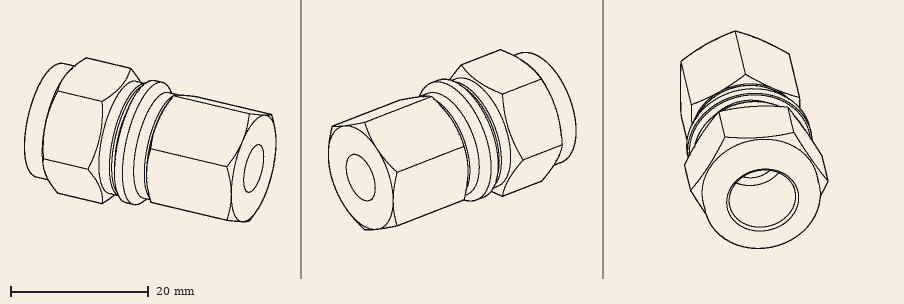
import cadquery as cq
import math

overall_length = 32.9

collar_diameter = 17.0
collar_length = 3.03
collar_fillet = 0.53
nut_corner_diameter = 20.17
nut_end = 12.0

shoulder_diameter = 16.8
shoulder_end = 14.0
shoulder_chamfer = 0.3
shoulder_chamfer_drop = 0.13
neck_diameter = 14.28
neck_end = 15.65
neck_chamfer = 0.2
neck_chamfer_drop = 0.1
flange_start = 14.8
flange_diameter = 18.25
flange_end = 16.1
flange_rim_width = 0.25
hollow_core_diameter = 13.05
body_diameter = 15.8
body_end = 19.4
body_chamfer = 0.35
body_chamfer_drop = 0.2

body_hex_corner_diameter = 18.33

tube_bore_diameter = 9.75
tube_bore_mouth_diameter = 10.55
tube_bore_depth = nut_end
through_bore_diameter = 7.1

hex_chamfer_angle = 30.0
hex_flat_ratio = math.cos(math.pi / 6)


def cylinder(start, end, diameter):
    return cq.Workplane("YZ", origin=(start, 0, 0)).circle(diameter / 2).extrude(end - start)


def revolve_about_x(points):
    """Revolve a closed outline of (x, radius) points about the X axis."""
    return cq.Workplane("XY").polyline(points).close().revolve(360, (0, 0, 0), (1, 0, 0))


def chamfered_hexagon(start, end, corner_diameter, start_diameter, end_diameter, rotation):
    """Hexagonal prism with its corners turned down by a cone at each end."""
    corner_radius = corner_diameter / 2
    slope = math.tan(math.radians(hex_chamfer_angle))
    start_depth = (corner_radius - start_diameter / 2) * slope
    end_depth = (corner_radius - end_diameter / 2) * slope
    prism = cq.Workplane("YZ", origin=(start, 0, 0)).polygon(6, corner_diameter).extrude(end - start)
    prism = prism.rotate((0, 0, 0), (1, 0, 0), rotation)
    envelope = revolve_about_x([
        (start, 0),
        (start, start_diameter / 2),
        (start + start_depth, corner_radius),
        (end - end_depth, corner_radius),
        (end, end_diameter / 2),
        (end, 0),
    ])
    return prism.intersect(envelope)


def turned_body():
    """Shoulder, neck, hollow tapered flange and body, ending inside the body hexagon."""
    shoulder_radius = shoulder_diameter / 2
    body_radius = body_diameter / 2
    taper_length = (flange_diameter - body_diameter) / 2
    rim_inner_radius = flange_diameter / 2 - flange_rim_width
    hollow_end = flange_start + rim_inner_radius - hollow_core_diameter / 2
    return revolve_about_x([
        (nut_end, 0),
        (nut_end, shoulder_radius),
        (shoulder_end - shoulder_chamfer, shoulder_radius),
        (shoulder_end, shoulder_radius - shoulder_chamfer_drop),
        (shoulder_end, neck_diameter / 2),
        (neck_end - neck_chamfer, neck_diameter / 2),
        (neck_end, neck_diameter / 2 - neck_chamfer_drop),
        (neck_end, hollow_core_diameter / 2),
        (hollow_end, hollow_core_diameter / 2),
        (flange_start, rim_inner_radius),
        (flange_start, flange_diameter / 2),
        (flange_end, flange_diameter / 2),
        (flange_end + taper_length, body_radius),
        (body_end - body_chamfer, body_radius),
        (body_end, body_radius - body_chamfer_drop),
        (body_end, 0),
    ])


def tube_bore():
    """Stepped entry bore with a 45 degree lead-in."""
    lead_in = (tube_bore_mouth_diameter - tube_bore_diameter) / 2
    return revolve_about_x([
        (0, 0),
        (0, tube_bore_mouth_diameter / 2),
        (lead_in, tube_bore_diameter / 2),
        (tube_bore_depth, tube_bore_diameter / 2),
        (tube_bore_depth, 0),
    ])


collar = cylinder(0, collar_length, collar_diameter).faces("<X").edges().fillet(collar_fillet)

nut = chamfered_hexagon(
    collar_length, nut_end, nut_corner_diameter, collar_diameter, shoulder_diameter, 0
)

body_hex_flats = body_hex_corner_diameter * hex_flat_ratio
body_hex = chamfered_hexagon(
    body_end, overall_length, body_hex_corner_diameter, body_hex_flats, body_hex_flats, 90
)

result = collar.union(nut).union(turned_body()).union(body_hex)
result = result.cut(tube_bore()).cut(cylinder(0, overall_length, through_bore_diameter))